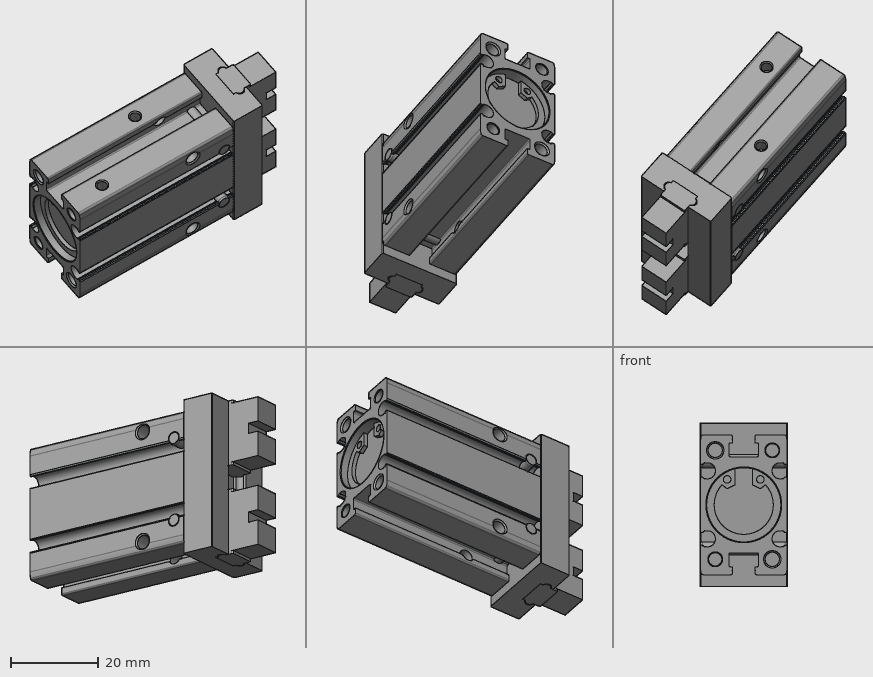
import cadquery as cq
import math

TOTAL_LENGTH = 59.4
WIDTH = 20.0
HEAD_HEIGHT = 37.4
HEAD_REAR = 43.05
HEAD_FRONT = 51.1
HEAD_FRONT_CHAMFER = 0.2
HEAD_REAR_CHAMFER = 0.25
BARREL_HEIGHT = 32.0

FLANK_FLAT_TOP = 14.15
FLANK_RADIUS = 4.9
CORNER_RADIUS = 0.6

SLOT_NECK_WIDTH = 5.2
SLOT_WIDE_WIDTH = 6.7
SLOT_SHOULDER_Z = 14.2
SLOT_FLOOR_Z = 11.0
SLOT_MOUTH_RADIUS = 0.35
SLOT_INNER_RADIUS = 0.3

GROOVE_X = 8.3
GROOVE_Z = 7.8
GROOVE_DIAMETER = 3.7
GROOVE_MOUTH = 2.9
GROOVE_BEVEL_DEPTH = 0.21
GROOVE_OUTER_BEVEL = 0.35
GROOVE_INNER_BEVEL = 0.2
GROOVE_LIP_X = 9.4
GROOVE_UNDERCUT = 0.4

PIN_DIAMETER = 3.0
PIN_Y = 40.4
PIN_Z = 10.0
PIN_END_DIAMETER = 2.75
PIN_TAPER_LENGTH = 0.55

CROSS_HOLE_DIAMETER = 3.25
CROSS_HOLE_MOUTH = 4.0
CROSS_HOLE_Y = 31.6
CROSS_HOLE_Z = 13.4

END_HOLE_X = 6.55
END_HOLE_Z = 12.5
END_HOLE_DEPTH = 7.1
LARGE_END_HOLE = 3.25
LARGE_END_HOLE_MOUTH = 4.0
SMALL_END_HOLE = 3.0
SMALL_END_HOLE_MOUTH = 3.4

PORT_DIAMETER = 2.45
PORT_MOUTH = 3.0
PORT_DEPTH = 3.55
PORT_X = 5.9
FRONT_PORT_Y = 26.6
REAR_PORT_Y = 9.1

BORE_MOUTH = 17.35
BORE_DIAMETER = 17.0
BORE_DEPTH = 2.95
RING_Y = 1.95
RING_INNER_RADIUS = 6.8
RING_GAP = 4.1
LUG_INNER_Z = 4.6
LUG_TIP = (3.8, 3.7)
LUG_SIDE_X = 5.0
LUG_HOLE_X = 3.8
LUG_HOLE_Z = 5.8
LUG_HOLE_DIAMETER = 1.7

JAW_WIDTH = 7.0
JAW_BOTTOM_Y = 47.5
JAW_FOOT_TOP_Y = 52.4
JAW_FOOT_HEIGHT = 15.8
JAW_HEIGHT = 14.4
JAW_LEDGE_BEVEL_X = 0.1
JAW_LEDGE_BEVEL_Y = 0.5
JAW_NOTCH_WIDTH = 2.5
JAW_NOTCH_DEPTH = 2.6
TRACK_Y = 49.35
TRACK_SPAN = 2.15
HEAD_TRACK_BULGE = 1.0
JAW_TRACK_BULGE = 0.8


def block(x_size, y_start, y_end, z_size):
    """Box centred on X and Z between two stations along Y."""
    return cq.Workplane("XY").box(x_size, y_end - y_start, z_size).translate((0, (y_start + y_end) / 2, 0))


def rod_y(diameter, x, z, y_start, y_end):
    """Cylinder along Y."""
    base = cq.Vector(x, y_start, z)
    return cq.Workplane(cq.Solid.makeCylinder(diameter / 2, y_end - y_start, base, cq.Vector(0, 1, 0)))


def chamfered_hole(diameter, mouth, depth, start, direction):
    """Cutter for a hole from `start` along `direction`, opening to `mouth` at 45 degrees."""
    start = cq.Vector(*start)
    direction = cq.Vector(*direction)
    bore = cq.Solid.makeCylinder(diameter / 2, depth, start, direction)
    flare = cq.Solid.makeCone(mouth / 2, diameter / 2, (mouth - diameter) / 2, start, direction)
    return cq.Workplane(bore.fuse(flare))


def extrude_y(sketch, y_start, y_end):
    """Extrude an X-Z outline from y_start to y_end."""
    return sketch.extrude(-(y_end - y_start)).translate((0, y_start, 0))


def barrel_blank():
    """Solid barrel with bowed flanks and rounded corners."""
    half_width = WIDTH / 2
    half_height = BARREL_HEIGHT / 2
    rise = half_height - FLANK_FLAT_TOP
    centre_x = half_width - FLANK_RADIUS
    corner_x = centre_x + math.sqrt(FLANK_RADIUS**2 - rise**2)
    middle_x = centre_x + math.sqrt(FLANK_RADIUS**2 - (rise / 2) ** 2)
    middle_z = FLANK_FLAT_TOP + rise / 2
    outline = (
        cq.Workplane("XZ")
        .moveTo(half_width, -FLANK_FLAT_TOP)
        .lineTo(half_width, FLANK_FLAT_TOP)
        .threePointArc((middle_x, middle_z), (corner_x, half_height))
        .lineTo(-corner_x, half_height)
        .threePointArc((-middle_x, middle_z), (-half_width, FLANK_FLAT_TOP))
        .lineTo(-half_width, -FLANK_FLAT_TOP)
        .threePointArc((-middle_x, -middle_z), (-corner_x, -half_height))
        .lineTo(corner_x, -half_height)
        .threePointArc((middle_x, -middle_z), (half_width, -FLANK_FLAT_TOP))
        .close()
    )
    barrel = extrude_y(outline, 0, HEAD_REAR)
    return barrel.faces(">Z or <Z").edges("|Y").fillet(CORNER_RADIUS)


def t_slot(side):
    """Cutter for the T-slot in the top (side = 1) or the bottom (side = -1)."""
    wide_height = SLOT_SHOULDER_Z - SLOT_FLOOR_Z
    neck_height = BARREL_HEIGHT / 2 - SLOT_FLOOR_Z
    wide = block(SLOT_WIDE_WIDTH, 0, HEAD_REAR, wide_height).edges("|Y").fillet(SLOT_INNER_RADIUS)
    wide = wide.translate((0, 0, side * (SLOT_FLOOR_Z + wide_height / 2)))
    neck = block(SLOT_NECK_WIDTH, 0, HEAD_REAR, neck_height)
    neck = neck.translate((0, 0, side * (SLOT_FLOOR_Z + neck_height / 2)))
    return wide.union(neck)


def round_slot_mouths(barrel):
    """Round the outer edges of both T-slots."""
    reach = (SLOT_WIDE_WIDTH / 2, HEAD_REAR, BARREL_HEIGHT)
    near_slot = cq.selectors.BoxSelector(tuple(-size for size in reach), reach)
    return barrel.faces(">Z or <Z").edges("|Y").edges(near_slot).fillet(SLOT_MOUTH_RADIUS)


def flank_groove(x_side, z_side):
    """Cutter for a round groove that opens through a bevelled mouth, undercut behind its lips."""
    groove = rod_y(GROOVE_DIAMETER, x_side * GROOVE_X, z_side * GROOVE_Z, 0, HEAD_REAR)
    flank = WIDTH / 2
    bevel_x = flank - GROOVE_BEVEL_DEPTH
    undercut_x = GROOVE_LIP_X - GROOVE_UNDERCUT
    inner = GROOVE_Z - GROOVE_MOUTH / 2
    outer = GROOVE_Z + GROOVE_MOUTH / 2
    points = [
        (undercut_x, inner - GROOVE_UNDERCUT),
        (GROOVE_LIP_X, inner),
        (bevel_x, inner),
        (flank, inner - GROOVE_INNER_BEVEL),
        (flank, outer + GROOVE_OUTER_BEVEL),
        (bevel_x, outer),
        (GROOVE_LIP_X, outer),
        (undercut_x, outer + GROOVE_UNDERCUT),
        (GROOVE_X, GROOVE_Z),
    ]
    mouth = cq.Workplane("XZ").polyline([(x_side * x, z_side * z) for x, z in points]).close()
    return groove.union(extrude_y(mouth, 0, HEAD_REAR))


def pin_seat(z):
    """Cutter for the hole that holds a cross pin."""
    start = cq.Vector(-WIDTH / 2, PIN_Y, z)
    return cq.Workplane(cq.Solid.makeCylinder(PIN_DIAMETER / 2, WIDTH, start, cq.Vector(1, 0, 0)))


def cross_pin(z):
    """Pin whose full diameter fills its hole between two tapered ends."""
    straight_end = WIDTH / 2 - PIN_TAPER_LENGTH
    profile = [
        (-WIDTH / 2, 0),
        (-WIDTH / 2, PIN_END_DIAMETER / 2),
        (-straight_end, PIN_DIAMETER / 2),
        (straight_end, PIN_DIAMETER / 2),
        (WIDTH / 2, PIN_END_DIAMETER / 2),
        (WIDTH / 2, 0),
    ]
    pin = cq.Workplane("XY").polyline(profile).close().revolve(360, (0, 0, 0), (1, 0, 0))
    return pin.translate((0, PIN_Y, z))


def bore_cutter():
    return chamfered_hole(BORE_DIAMETER, BORE_MOUTH, BORE_DEPTH, (0, 0, 0), (0, 1, 0))


def retaining_ring():
    """Open ring in the bore with two drilled lugs beside its gap."""
    ring = rod_y(BORE_DIAMETER, 0, 0, RING_Y, BORE_DEPTH)
    ring = ring.cut(rod_y(2 * RING_INNER_RADIUS, 0, 0, RING_Y, BORE_DEPTH))
    lug_side_low = math.sqrt(RING_INNER_RADIUS**2 - LUG_SIDE_X**2)
    lug_side_top = math.sqrt((BORE_DIAMETER / 2) ** 2 - LUG_SIDE_X**2)
    lug_top = math.sqrt((BORE_DIAMETER / 2) ** 2 - (RING_GAP / 2) ** 2)
    for side in (-1, 1):
        points = [
            (RING_GAP / 2, LUG_INNER_Z),
            LUG_TIP,
            (LUG_SIDE_X, lug_side_low),
            (LUG_SIDE_X, lug_side_top),
            (RING_GAP / 2, lug_top),
        ]
        outline = cq.Workplane("XZ").polyline([(side * x, z) for x, z in points]).close()
        ring = ring.union(extrude_y(outline, RING_Y, BORE_DEPTH))
        ring = ring.cut(rod_y(LUG_HOLE_DIAMETER, side * LUG_HOLE_X, LUG_HOLE_Z, RING_Y, BORE_DEPTH))
    gap = block(RING_GAP, RING_Y, BORE_DEPTH, BORE_DIAMETER / 2).translate((0, 0, BORE_DIAMETER / 2))
    return ring.cut(gap)


def jaw_track(bulge, y_top):
    """Cross-section of the jaw track in X-Y, with a bulge on each side, up to y_top."""
    half = JAW_WIDTH / 2
    low = TRACK_Y - TRACK_SPAN / 2
    high = TRACK_Y + TRACK_SPAN / 2
    return (
        cq.Workplane("XY")
        .moveTo(-half, JAW_BOTTOM_Y)
        .lineTo(half, JAW_BOTTOM_Y)
        .lineTo(half, low)
        .threePointArc((half + bulge, TRACK_Y), (half, high))
        .lineTo(half, y_top)
        .lineTo(-half, y_top)
        .lineTo(-half, high)
        .threePointArc((-half - bulge, TRACK_Y), (-half, low))
        .close()
    )


def build_barrel():
    barrel = barrel_blank()
    for side in (-1, 1):
        barrel = barrel.cut(t_slot(side))
    barrel = round_slot_mouths(barrel)
    for x_side in (-1, 1):
        for z_side in (-1, 1):
            barrel = barrel.cut(flank_groove(x_side, z_side))
    for side in (-1, 1):
        barrel = barrel.cut(pin_seat(side * PIN_Z)).union(cross_pin(side * PIN_Z))
    return barrel


def build_head():
    head = block(WIDTH, HEAD_REAR, HEAD_FRONT, HEAD_HEIGHT)
    head = head.faces(">Y").edges("|Z").chamfer(HEAD_FRONT_CHAMFER)
    head = head.faces("<Y").edges("|Z").chamfer(HEAD_REAR_CHAMFER)
    return head.cut(jaw_track(HEAD_TRACK_BULGE, HEAD_FRONT).extrude(HEAD_HEIGHT / 2, both=True))


def cut_mounting_holes(housing):
    """Drill the cross holes in both flanks and the blind holes in the rear end."""
    for x_side in (-1, 1):
        for z_side in (-1, 1):
            flank = (x_side * WIDTH / 2, CROSS_HOLE_Y, z_side * CROSS_HOLE_Z)
            cross_hole = chamfered_hole(
                CROSS_HOLE_DIAMETER, CROSS_HOLE_MOUTH, WIDTH / 2, flank, (-x_side, 0, 0)
            )
            diameter, mouth = SMALL_END_HOLE, SMALL_END_HOLE_MOUTH
            if x_side != z_side:
                diameter, mouth = LARGE_END_HOLE, LARGE_END_HOLE_MOUTH
            rear = (x_side * END_HOLE_X, 0, z_side * END_HOLE_Z)
            end_hole = chamfered_hole(diameter, mouth, END_HOLE_DEPTH, rear, (0, 1, 0))
            housing = housing.cut(cross_hole).cut(end_hole)
    return housing


def cut_air_ports(housing):
    for x, y in ((-PORT_X, FRONT_PORT_Y), (PORT_X, REAR_PORT_Y)):
        top = (x, y, BARREL_HEIGHT / 2)
        housing = housing.cut(chamfered_hole(PORT_DIAMETER, PORT_MOUTH, PORT_DEPTH, top, (0, 0, -1)))
    return housing


def build_housing():
    housing = build_barrel().union(build_head())
    housing = cut_air_ports(cut_mounting_holes(housing))
    return housing.cut(bore_cutter()).union(retaining_ring())


def build_jaw(z):
    """Sliding foot with bevelled ledges, carrying a finger notched at its tip."""
    half = JAW_WIDTH / 2
    bevel_start = JAW_FOOT_TOP_Y - JAW_LEDGE_BEVEL_Y
    ledge_outline = [
        (-half, bevel_start),
        (half, bevel_start),
        (half - JAW_LEDGE_BEVEL_X, JAW_FOOT_TOP_Y),
        (JAW_LEDGE_BEVEL_X - half, JAW_FOOT_TOP_Y),
    ]
    ledge = cq.Workplane("XY").polyline(ledge_outline).close().extrude(JAW_FOOT_HEIGHT / 2, both=True)
    foot = jaw_track(JAW_TRACK_BULGE, bevel_start).extrude(JAW_FOOT_HEIGHT / 2, both=True)
    finger = block(JAW_WIDTH, TRACK_Y, TOTAL_LENGTH, JAW_HEIGHT)
    notch = block(JAW_WIDTH, TOTAL_LENGTH - JAW_NOTCH_DEPTH, TOTAL_LENGTH, JAW_NOTCH_WIDTH)
    return foot.union(ledge).union(finger).cut(notch).translate((0, 0, z))


housing = build_housing()
jaw_offset = (HEAD_HEIGHT - JAW_FOOT_HEIGHT) / 2
jaws = [build_jaw(side * jaw_offset) for side in (-1, 1)]

result = cq.Compound.makeCompound([housing.val(), *[jaw.val() for jaw in jaws]])